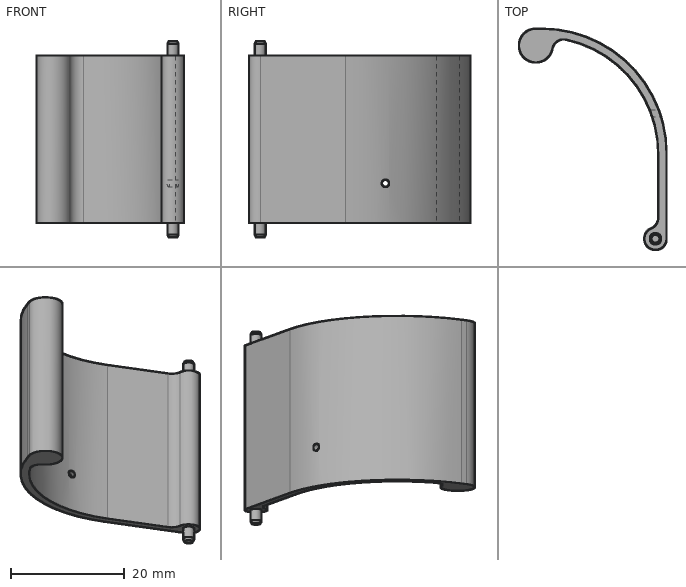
import cadquery as cq
import math

overall_width = 26.0
overall_length = 38.95
overall_height = 34.5
pin_length = 2.5
wall = 1.5
bend_radius = 22.0
bead_radius = 3.0
bead_fillet = 2.0
barrel_radius = 2.0
barrel_fillet = 2.0
pin_diameter = 2.0
tip_inset = 0.27
tip_height = 0.5
hole_diameter = 1.25
hole_drop = 14.95
hole_height = 7.0

body_height = overall_height - 2 * pin_length
inner_radius = bend_radius - wall
bead_x = bend_radius - overall_width + bead_radius
bead_y = bend_radius - bead_radius
barrel_x = bend_radius - barrel_radius
barrel_y = bend_radius - overall_length + barrel_radius


def polar(center, radius, angle):
    return (center[0] + radius * math.cos(angle), center[1] + radius * math.sin(angle))


def direction(start, end):
    return math.atan2(end[1] - start[1], end[0] - start[0])


def fillet_middle(center, radius, first, last):
    """Midpoint of the short arc between two points around a fillet center."""
    chord_middle = ((first[0] + last[0]) / 2, (first[1] + last[1]) / 2)
    return polar(center, radius, direction(center, chord_middle))


def make_body():
    bend = (0, 0)
    bead = (bead_x, bead_y)
    barrel = (barrel_x, barrel_y)

    bead_distance = math.hypot(*bead)
    to_bend = inner_radius - bead_fillet
    to_bead = bead_radius + bead_fillet
    cosine = (bead_distance**2 + to_bend**2 - to_bead**2) / (2 * bead_distance * to_bend)
    bend_angle = direction(bend, bead) - math.acos(cosine)
    bead_fillet_center = polar(bend, to_bend, bend_angle)
    bend_tangent = polar(bend, inner_radius, bend_angle)
    bead_tangent = polar(bead, bead_radius, direction(bead, bead_fillet_center))

    fillet_x = inner_radius - barrel_fillet
    fillet_rise = math.sqrt((barrel_radius + barrel_fillet)**2 - (barrel_x - fillet_x)**2)
    barrel_fillet_center = (fillet_x, barrel_y + fillet_rise)
    wall_tangent = (inner_radius, barrel_fillet_center[1])
    barrel_tangent = polar(barrel, barrel_radius, direction(barrel, barrel_fillet_center))

    return (
        cq.Workplane("XY")
        .moveTo(bead_x, bend_radius)
        .lineTo(0, bend_radius)
        .threePointArc(polar(bend, bend_radius, math.pi / 4), (bend_radius, 0))
        .lineTo(bend_radius, barrel_y)
        .threePointArc((barrel_x, barrel_y - barrel_radius), barrel_tangent)
        .threePointArc(
            fillet_middle(barrel_fillet_center, barrel_fillet, barrel_tangent, wall_tangent),
            wall_tangent,
        )
        .lineTo(inner_radius, 0)
        .threePointArc(polar(bend, inner_radius, bend_angle / 2), bend_tangent)
        .threePointArc(
            fillet_middle(bead_fillet_center, bead_fillet, bend_tangent, bead_tangent),
            bead_tangent,
        )
        .threePointArc((bead_x - bead_radius, bead_y), (bead_x, bend_radius))
        .close()
        .extrude(body_height)
    )


def make_pin():
    """One pin running through the barrel, chamfered at both tips."""
    return (
        cq.Workplane("XY", origin=(barrel_x, barrel_y, -pin_length))
        .circle(pin_diameter / 2)
        .extrude(overall_height)
        .faces(">Z").chamfer(tip_height, tip_inset)
        .faces("<Z").chamfer(tip_height, tip_inset)
    )


def make_hole():
    """Small hole along X through the curved wall."""
    return (
        cq.Workplane("YZ")
        .center(bend_radius - hole_drop, hole_height)
        .circle(hole_diameter / 2)
        .extrude(bend_radius)
    )


result = make_body().union(make_pin()).cut(make_hole())